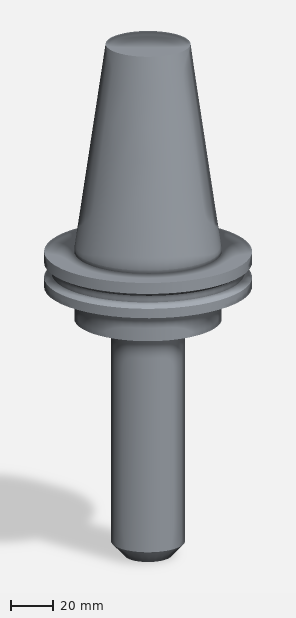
import cadquery as cq
import math

total_height = 254.0
taper_length = 101.5
collar_height = 1.5
flange_bottom = 133.4
hub_length = 16.0
tip_chamfer_height = 6.9

taper_base_diameter = 69.8
taper_ratio = 7 / 24
flange_diameter = 98.5
hub_diameter = 69.8
shank_diameter = 35.0
tip_diameter = 22.4

groove_center = 141.7
groove_floor_width = 3.3
groove_depth = 3.5
groove_side_angle = 30.0

gauge_line = total_height - taper_length
flange_top = gauge_line - collar_height
hub_bottom = flange_bottom - hub_length
taper_top_diameter = taper_base_diameter - taper_ratio * taper_length
groove_floor_radius = flange_diameter / 2 - groove_depth
floor_half_width = groove_floor_width / 2
mouth_half_width = floor_half_width + groove_depth * math.tan(math.radians(groove_side_angle))

half_section = [
    (0, 0),
    (tip_diameter / 2, 0),
    (shank_diameter / 2, tip_chamfer_height),
    (shank_diameter / 2, hub_bottom),
    (hub_diameter / 2, hub_bottom),
    (hub_diameter / 2, flange_bottom),
    (flange_diameter / 2, flange_bottom),
    (flange_diameter / 2, groove_center - mouth_half_width),
    (groove_floor_radius, groove_center - floor_half_width),
    (groove_floor_radius, groove_center + floor_half_width),
    (flange_diameter / 2, groove_center + mouth_half_width),
    (flange_diameter / 2, flange_top),
    (taper_base_diameter / 2, flange_top),
    (taper_base_diameter / 2, gauge_line),
    (taper_top_diameter / 2, total_height),
    (0, total_height),
]

result = cq.Workplane("XZ").polyline(half_section).close().revolve(360, (0, 0, 0), (0, 1, 0))